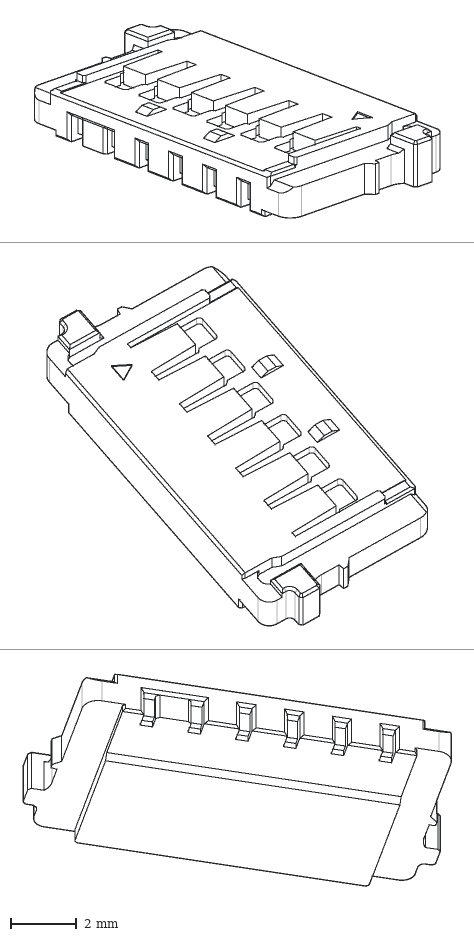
import cadquery as cq

length = 12.95
depth = 6.4
height = 1.92

back_y = depth / 2
front_y = -depth / 2
wing_bottom_z = 0.43
wing_top_z = 1.44
deck_z = 1.64
foot_front_z = 0.2

back_half_width = 5.985
middle_half_width = 5.84
front_half_width = 5.79
back_corner_radius = 0.42
front_corner_radius = 0.5
wing_front_chamfer = 0.235
nib_half_width = 6.04
nib_back_y = 0.37
nib_tip_back_y = 0.34
nib_tip_front_y = 0.18
nib_front_y = -0.04

lug_half_width = length / 2
lug_front_y = 1.46
lug_blend_front_y = 1.03
lug_blend_radius = 0.65
lug_back_y = 2.25
lug_root_back_y = 2.59
lug_inner_x = 5.365
lug_fillet_radius = 0.2
lug_edge_chamfer = 0.09
lug_step_length = 0.155
lug_step_height = 0.11
channel_end_y = 2.78
channel_corner_radius = 0.27

plateau_back_half_width = 4.745
plateau_half_width = 4.87
plateau_taper_back_y = 2.11
plateau_taper_front_y = 1.83
plateau_back_chamfer = 0.1
plateau_back_corner_inset = 0.04
plateau_front_corner = 0.08
recess_half_width = 4.48
recess_back_y = 1.05
rail_front_y = -2.07
rail_end_chamfer = 0.07
ledge_z = 1.68
ledge_chamfer = 0.08
nose_length = 0.13
nose_drop = 0.08

contact_count = 6
contact_pitch = 1.5
contact_xs = [(i - (contact_count - 1) / 2) * contact_pitch for i in range(contact_count)]
tongue_root_width = 1.1
tongue_tip_width = 0.975
tongue_tip_y = -0.64
pocket_width = 1.21
pocket_neck_back_y = -0.66
pocket_neck_front_y = -0.77
pocket_front_y = -1.49
pocket_corner_radius = 0.13
pocket_floor_z = 1.33

bump_xs = [-contact_pitch, contact_pitch]
bump_width = 0.5
bump_height = 0.15
bump_back_y = -1.67
bump_top_back_y = -1.93
bump_top_front_y = -2.23
bump_front_y = -2.5

mark_width = 0.66
mark_back_y = 1.93
mark_front_y = 1.38
mark_depth = 0.05

foot_half_width = 4.62
foot_step_y = -1.06
foot_slope_front_y = -0.9
foot_chamfer = 0.08

window_width = 0.61
window_top_z = 1.18
window_flare = 0.11
window_flare_depth = 0.09
half_window = window_width / 2
slot_half_width = half_window - window_flare
window_depth = 0.37
window_groove_z = 0.395
window_groove_depth = 0.6


def box(x_min, x_max, y_min, y_max, z_min, z_max):
    """Box given by its limits."""
    return cq.Workplane("XY").box(
        x_max - x_min, y_max - y_min, z_max - z_min, centered=False
    ).translate((x_min, y_min, z_min))


def prism(points, z_min, z_max):
    """Vertical prism over a polygon in plan."""
    return cq.Workplane("XY").workplane(offset=z_min).polyline(points).close().extrude(z_max - z_min)


def side_prism(profile, x_min, x_max):
    """Prism along X over a (y, z) profile."""
    return cq.Workplane("YZ").workplane(offset=x_min).polyline(profile).close().extrude(x_max - x_min)


def both_sides(solid):
    """The solid together with its mirror image across the YZ plane."""
    return solid.union(solid.mirror("YZ"))


def wing_half():
    """Right half of the wings, with the nib and the small step in front of the lug."""
    wing = (
        cq.Workplane("XY").workplane(offset=wing_bottom_z)
        .moveTo(0, back_y)
        .lineTo(back_half_width - back_corner_radius, back_y)
        .radiusArc((back_half_width, back_y - back_corner_radius), back_corner_radius)
        .lineTo(back_half_width, lug_front_y)
        .radiusArc((middle_half_width, lug_blend_front_y), -lug_blend_radius)
        .lineTo(middle_half_width, nib_back_y)
        .lineTo(nib_half_width, nib_tip_back_y)
        .lineTo(nib_half_width, nib_tip_front_y)
        .lineTo(front_half_width, nib_front_y)
        .lineTo(front_half_width, front_y + front_corner_radius)
        .radiusArc((front_half_width - front_corner_radius, front_y), front_corner_radius)
        .lineTo(0, front_y)
        .close()
        .extrude(deck_z - wing_bottom_z)
    )
    lowered = box(0, length, front_y, lug_root_back_y, wing_top_z, height)
    lug_step = side_prism(
        [
            (lug_front_y, wing_top_z),
            (lug_front_y, wing_top_z + lug_step_height),
            (lug_front_y - lug_step_length, wing_top_z),
        ],
        lug_inner_x,
        length,
    )
    channel = box(plateau_back_half_width, lug_inner_x, 0, channel_end_y, wing_top_z, height)
    channel = channel.faces(">Y").edges("|Z").fillet(channel_corner_radius)
    front_chamfer = side_prism(
        [
            (front_y, wing_top_z - wing_front_chamfer),
            (front_y, wing_top_z),
            (front_y + wing_front_chamfer, wing_top_z),
        ],
        0,
        length,
    )
    return wing.cut(lowered.cut(lug_step)).cut(channel).cut(front_chamfer)


def lug():
    """Right lug with chamfered top and outer edges."""
    block = (
        cq.Workplane("XY").workplane(offset=wing_bottom_z)
        .moveTo(lug_inner_x, lug_front_y)
        .lineTo(lug_half_width, lug_front_y)
        .lineTo(lug_half_width, lug_back_y)
        .lineTo(back_half_width + lug_fillet_radius, lug_back_y)
        .radiusArc((back_half_width, lug_back_y + lug_fillet_radius), lug_fillet_radius)
        .lineTo(back_half_width, lug_root_back_y)
        .lineTo(lug_inner_x, lug_root_back_y)
        .close()
        .extrude(height - wing_bottom_z)
    )
    block = block.faces(">X").edges("|Z").chamfer(lug_edge_chamfer)
    block = block.faces(">Z").edges().chamfer(lug_edge_chamfer)
    return block


def plateau():
    """Raised middle of the body, with front recess, end ledges and nose chamfer."""
    right_edge = [
        (plateau_back_half_width - plateau_back_corner_inset, back_y),
        (plateau_back_half_width, back_y - plateau_back_chamfer),
        (plateau_back_half_width, plateau_taper_back_y),
        (plateau_half_width, plateau_taper_front_y),
        (plateau_half_width, front_y + plateau_front_corner),
        (plateau_half_width - plateau_front_corner, front_y),
    ]
    left_edge = [(-x, y) for x, y in reversed(right_edge)]
    body = prism(right_edge + left_edge, wing_bottom_z, height)
    body = body.faces(">Y").edges(">Z").chamfer(plateau_back_chamfer)

    recess = box(-recess_half_width, recess_half_width, front_y, recess_back_y, deck_z, height)
    end_cut = prism(
        [
            (recess_half_width, front_y),
            (recess_half_width, rail_front_y + rail_end_chamfer),
            (recess_half_width + rail_end_chamfer, rail_front_y),
            (plateau_half_width - rail_end_chamfer, rail_front_y),
            (plateau_half_width, rail_front_y + rail_end_chamfer),
            (plateau_half_width, front_y),
        ],
        ledge_z,
        height,
    )
    ledge_edge = (
        cq.Workplane("XZ", origin=(0, rail_front_y, 0))
        .moveTo(plateau_half_width, ledge_z)
        .lineTo(plateau_half_width - ledge_chamfer, ledge_z)
        .lineTo(plateau_half_width, ledge_z - ledge_chamfer)
        .close()
        .extrude(rail_front_y - front_y)
    )
    nose_slope = nose_drop / nose_length
    nose_top_y = front_y + nose_length + (height - deck_z) / nose_slope
    nose = side_prism(
        [(front_y, deck_z - nose_drop), (front_y, height), (nose_top_y, height)],
        -plateau_half_width,
        plateau_half_width,
    ).intersect(box(-length, length, front_y, rail_front_y, 0, height))
    return body.cut(recess).cut(both_sides(end_cut)).cut(both_sides(ledge_edge)).cut(nose)


def tongue(x):
    """Tapered tongue reaching over its pocket."""
    root = tongue_root_width / 2
    tip = tongue_tip_width / 2
    return prism(
        [
            (x - root, recess_back_y),
            (x - tip, tongue_tip_y),
            (x + tip, tongue_tip_y),
            (x + root, recess_back_y),
        ],
        pocket_floor_z,
        height,
    )


def pocket(x):
    """Pocket around and in front of one tongue."""
    wide = pocket_width / 2
    narrow = tongue_tip_width / 2
    cutter = prism(
        [
            (x - wide, recess_back_y),
            (x - wide, pocket_neck_back_y),
            (x - narrow, pocket_neck_front_y),
            (x - narrow, pocket_front_y),
            (x + narrow, pocket_front_y),
            (x + narrow, pocket_neck_front_y),
            (x + wide, pocket_neck_back_y),
            (x + wide, recess_back_y),
        ],
        pocket_floor_z,
        deck_z,
    )
    return cutter.faces("<Y").edges("|Z").fillet(pocket_corner_radius)


def bump(x):
    """Trapezoidal locking bump on the deck."""
    profile = [
        (bump_back_y, deck_z),
        (bump_top_back_y, deck_z + bump_height),
        (bump_top_front_y, deck_z + bump_height),
        (bump_front_y, deck_z),
    ]
    return side_prism(profile, x - bump_width / 2, x + bump_width / 2)


def foot():
    """Lower block, shallower towards the front."""
    profile = [
        (back_y, wing_bottom_z),
        (back_y, 0),
        (foot_slope_front_y, 0),
        (foot_step_y, foot_front_z),
        (front_y, foot_front_z),
        (front_y, wing_bottom_z),
    ]
    block = side_prism(profile, -foot_half_width, foot_half_width)
    block = block.edges("|Z and (<Y or >Y)").chamfer(foot_chamfer)
    front_edge = side_prism(
        [
            (front_y, foot_front_z),
            (front_y + foot_chamfer, foot_front_z),
            (front_y, foot_front_z + foot_chamfer),
        ],
        -foot_half_width,
        foot_half_width,
    )
    return block.cut(front_edge)


def flare(x_min, x_max):
    """Front window mouth, narrowing inwards at its sides and top."""
    return (
        cq.Workplane("XZ", origin=(0, front_y, 0))
        .moveTo((x_min + x_max) / 2, window_top_z / 2)
        .rect(x_max - x_min, window_top_z)
        .workplane(offset=-window_flare_depth)
        .moveTo((x_min + x_max) / 2, (window_top_z - window_flare) / 2)
        .rect(x_max - x_min - 2 * window_flare, window_top_z - window_flare)
        .loft()
    )


def window_slot(x):
    """Narrow slot behind a window mouth, with a deeper groove at the bottom."""
    half = slot_half_width
    top = window_top_z - window_flare
    slot = box(x - half, x + half, front_y, front_y + window_depth, 0, top)
    groove = box(x - half, x + half, front_y, front_y + window_groove_depth, 0, window_groove_z)
    return slot.union(groove)


def land_bevel(edge_x, inward):
    """Bevel on one vertical edge of the set-back land between the first two slots."""
    land_y = front_y + window_flare_depth
    return prism(
        [
            (edge_x, land_y),
            (edge_x + inward * window_flare, land_y),
            (edge_x, land_y + window_flare_depth),
        ],
        0,
        window_top_z - window_flare,
    )


def pin_one_mark():
    """Shallow triangle at the last contact."""
    x = contact_xs[-1]
    return prism(
        [(x - mark_width / 2, mark_back_y), (x + mark_width / 2, mark_back_y), (x, mark_front_y)],
        height - mark_depth,
        height,
    )


result = both_sides(wing_half().union(lug())).union(plateau()).union(foot())

for contact_x in contact_xs:
    result = result.cut(pocket(contact_x)).union(tongue(contact_x))
    result = result.cut(window_slot(contact_x))

for bump_x in bump_xs:
    result = result.union(bump(bump_x))

result = result.cut(flare(contact_xs[0] - half_window, contact_xs[1] + half_window))
result = result.cut(land_bevel(contact_xs[0] + slot_half_width, 1))
result = result.cut(land_bevel(contact_xs[1] - slot_half_width, -1))
for contact_x in contact_xs[2:]:
    result = result.cut(flare(contact_x - half_window, contact_x + half_window))

result = result.cut(pin_one_mark())